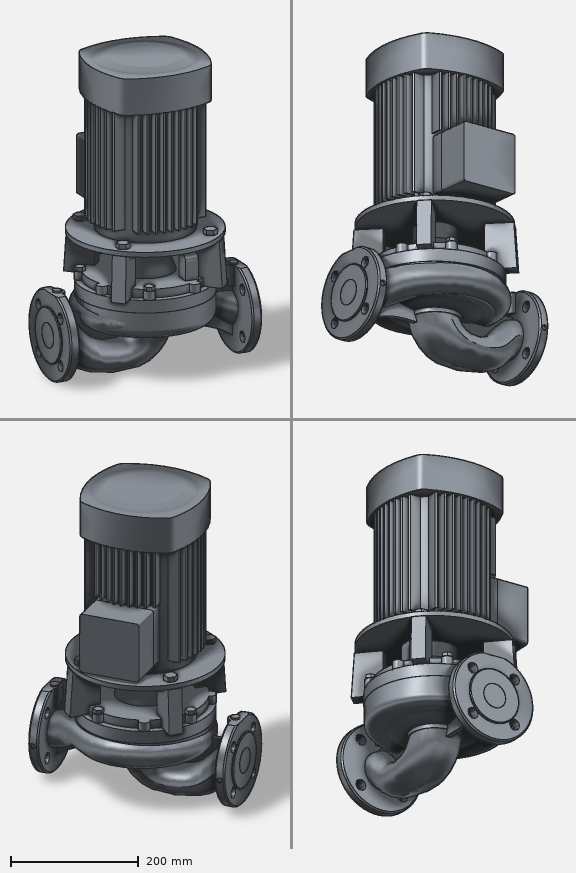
import cadquery as cq
import math


frame_radius = 80.0
fin_radius = 95.0
fin_pitch = 12.6
fin_width = 3.0
fins_per_side = 9
fin_bottom = 174.0
plate_bottom = 146.0
plate_top = 154.0
plate_radius = 125.0
cap_bottom = 373.0
cap_top = 433.0
cap_half_width = 96.0
cap_corner_near = 70.5
cap_corner_far = 80.5
dome_top = 437.5
dome_base_radius = 82.0
dome_top_radius = 60.0
frame_bolt_offset = 76.0
frame_bolt_flats = 19.0
frame_bolt_height = 8.5

box_width = 101.0
box_bottom = 172.0
box_top = 272.0
box_corner = 5.0
box_outer_x = -141.0
box_seam_x = -83.7
fin_box_gap = 3.0

cover_bottom = 70.0
cover_top = 84.5
cover_radius = 100.0
boss_count = 8
boss_circle_radius = 102.0
boss_radius = 9.3
cover_bolt_flats = 15.0
cover_bolt_height = 6.5
leg_width = 23.0
leg_inner_radius = 80.0
leg_top_radius = 126.0
leg_foot_radius = 131.0
neck_base_radius = 48.5
neck_radius = 35.0
neck_shoulder = 118.0
neck_top = 144.0
lug_x = 70.0
lug_radius = 12.0
lug_near_y = 30.0
lug_far_y = 52.0
lug_axis_z = 115.0

rim_radius = 111.0
rim_bottom = 49.0
bowl_radius = 110.5
bowl_bottom = 4.0
bowl_round = 15.0
channel_z = 26.0
pipe_overlap = 3.0
hub_radius = 43.0
hub_bottom = -9.0
hub_shoulder_radius = 75.0
hub_shoulder_z = -2.0
port_face_y = 170.0
flange_radius = 75.0
flange_front_y = 167.0
flange_back_y = 150.0
flange_edge = 2.5
flange_flat_z = 70.0
raised_face_radius = 46.0
raised_face_edge = 1.5
bore_radius = 20.5
bore_recess = 0.5
flange_hole_radius = 9.0
flange_hole_spacing = 110.0 / math.sqrt(2)
tapping_y = 153.5
tapping_boss_radius = 12.0
tapping_boss_bottom = 36.0
plug_radius = 7.3
plug_top = 73.0
drain_y = 159.0
drain_z = -5.0
drain_radius = 4.5
drain_depth = 4.0
web_thickness = 8.0
web_top = 56.0
web_low = -20.0
web_foot = -49.0
web_inlet_top = 31.0
web_outlet_top = 44.0
web_arc_mid = (103.0, -25.0)
web_arc_end_y = 60.0
web_bend_y = -90.0
web_elbow_point = (-118.0, 10.0)


def cylinder(radius, bottom, top, x=0.0, y=0.0):
    return cq.Workplane("XY", origin=(x, y, bottom)).circle(radius).extrude(top - bottom)


def hex_head(flats, bottom, height, x, y):
    across_corners = flats / math.cos(math.radians(30))
    return cq.Workplane("XY", origin=(x, y, bottom)).polygon(6, across_corners).extrude(height)


def tube(sections):
    """Smooth solid through ellipses given as (centre, direction, half width, half depth).

    The half width lies level and the half depth lies across it.
    """
    wires = []
    for centre, direction, half_width, half_depth in sections:
        axis = cq.Vector(*direction)
        level = cq.Vector(-1, 0, 0) if axis.x == 0 else axis.cross(cq.Vector(0, 0, 1))
        plane = cq.Plane(origin=centre, xDir=level, normal=axis)
        wires.append(cq.Workplane(plane).ellipse(half_width, half_depth).wires().val())
    return cq.Workplane(obj=cq.Solid.makeLoft(wires))


def rounded_box(start_x, end_x):
    """Box of the terminal box section between two X positions, its long edges rounded."""
    middle_z = (box_bottom + box_top) / 2
    return (
        cq.Workplane("YZ", origin=(start_x, 0, middle_z))
        .rect(box_width, box_top - box_bottom)
        .extrude(end_x - start_x)
        .edges("|X")
        .fillet(box_corner)
    )


def fin_row(bottom):
    """Separate parallel fins on the +X side, trimmed to the round fin envelope."""
    height = cap_bottom - bottom
    envelope = cylinder(fin_radius, bottom, cap_bottom)
    first_y = -fin_pitch * (fins_per_side - 1) / 2
    fins = []
    for index in range(fins_per_side):
        blank = cq.Workplane("XY", origin=(0, first_y + index * fin_pitch, bottom))
        fin = blank.box(fin_radius, fin_width, height, centered=(False, True, False))
        fins.append(fin.intersect(envelope))
    return fins


def fan_cap():
    """Fan cap: a square with bowed sides and round corners, topped by a low dome."""
    near, far, bow = cap_corner_near, cap_corner_far, cap_half_width
    half_turn = math.pi / 4 - 2 * math.atan((bow - far) / near)
    corner_bulge = (far - near) / math.sqrt(2) * math.tan(half_turn / 2)
    corner_mid = (near + far) / 2 + corner_bulge / math.sqrt(2)
    outline = cq.Workplane("XY", origin=(0, 0, cap_bottom)).moveTo(far, -near)
    outline = outline.threePointArc((bow, 0), (far, near))
    outline = outline.threePointArc((corner_mid, corner_mid), (near, far))
    outline = outline.threePointArc((0, bow), (-near, far))
    outline = outline.threePointArc((-corner_mid, corner_mid), (-far, near))
    outline = outline.threePointArc((-bow, 0), (-far, -near))
    outline = outline.threePointArc((-corner_mid, -corner_mid), (-near, -far))
    outline = outline.threePointArc((0, -bow), (near, -far))
    outline = outline.threePointArc((corner_mid, -corner_mid), (far, -near))
    cap = outline.close().extrude(cap_top - cap_bottom)
    dome = cq.Workplane(
        obj=cq.Solid.makeCone(
            dome_base_radius, dome_top_radius, dome_top - cap_top, cq.Vector(0, 0, cap_top)
        )
    )
    return cap.union(dome)


def make_motor():
    motor = cylinder(plate_radius, plate_bottom, plate_top)
    motor = motor.union(cylinder(frame_radius, plate_top, cap_bottom))
    motor = motor.union(rounded_box(box_seam_x, 0))
    for angle in (0, 90, 180, 270):
        bottom = box_top + fin_box_gap if angle == 180 else fin_bottom
        for fin in fin_row(bottom):
            motor = motor.union(fin.rotate((0, 0, 0), (0, 0, 1), angle))
    for x in (-frame_bolt_offset, frame_bolt_offset):
        for y in (-frame_bolt_offset, frame_bolt_offset):
            motor = motor.union(hex_head(frame_bolt_flats, plate_top, frame_bolt_height, x, y))
    return motor.union(fan_cap())


def make_terminal_box():
    return rounded_box(box_outer_x, box_seam_x)


def bracket_leg(angle):
    """Radial leg from the pump rim up to the motor plate, its outer face leaning inward."""
    return (
        cq.Workplane("XZ")
        .moveTo(leg_inner_radius, cover_bottom)
        .lineTo(leg_foot_radius, cover_bottom)
        .lineTo(leg_top_radius, plate_bottom)
        .lineTo(leg_inner_radius, plate_bottom)
        .close()
        .extrude(leg_width / 2, both=True)
        .rotate((0, 0, 0), (0, 0, 1), angle)
    )


def bracket_neck():
    """Seal neck: a cone that narrows to a short cylinder under the motor plate."""
    return (
        cq.Workplane("XZ")
        .moveTo(0, cover_top)
        .lineTo(neck_base_radius, cover_top)
        .lineTo(neck_radius, neck_shoulder)
        .lineTo(neck_radius, neck_top)
        .lineTo(0, neck_top)
        .close()
        .revolve(360, (0, 0, 0), (0, 1, 0))
    )


def cover_lug():
    """Round-topped lug standing on the cover beside the neck."""
    return (
        cq.Workplane("XZ", origin=(0, lug_far_y, 0))
        .moveTo(lug_x - lug_radius, cover_top)
        .lineTo(lug_x + lug_radius, cover_top)
        .lineTo(lug_x + lug_radius, lug_axis_z)
        .threePointArc((lug_x, lug_axis_z + lug_radius), (lug_x - lug_radius, lug_axis_z))
        .close()
        .extrude(lug_far_y - lug_near_y)
    )


def make_bracket():
    bracket = cylinder(cover_radius, cover_bottom, cover_top)
    boss_step = 360 / boss_count
    for index in range(boss_count):
        angle = math.radians(boss_step * (index + 0.5))
        x = boss_circle_radius * math.cos(angle)
        y = boss_circle_radius * math.sin(angle)
        bracket = bracket.union(cylinder(boss_radius, cover_bottom, cover_top, x, y))
        if index % 2 == 1:
            bracket = bracket.union(hex_head(cover_bolt_flats, cover_top, cover_bolt_height, x, y))
    for angle in (45, 135, 225, 315):
        bracket = bracket.union(bracket_leg(angle))
    return bracket.union(bracket_neck()).union(cover_lug())


def volute():
    """Rim, round bowl and hub, with the spiral channel running out to the +Y port."""
    rim = cylinder(rim_radius, rim_bottom, cover_bottom)
    bowl = cylinder(bowl_radius, bowl_bottom, rim_bottom).edges("<Z").fillet(bowl_round)
    hub = (
        cq.Workplane("XZ")
        .moveTo(0, hub_bottom)
        .lineTo(hub_radius, hub_bottom)
        .lineTo(hub_radius, hub_shoulder_z)
        .lineTo(hub_shoulder_radius, bowl_bottom)
        .lineTo(0, bowl_bottom)
        .close()
        .revolve(360, (0, 0, 0), (0, 1, 0))
    )

    growth = (
        (0, 106, 17, 17),
        (-45, 111, 20, 20),
        (-90, 116, 22, 22),
        (-135, 119.5, 23, 23.5),
        (-180, 122.3, 23.5, 24),
    )
    spiral = []
    for angle, reach, half_width, half_depth in growth:
        turn = math.radians(angle)
        across = (math.cos(turn), math.sin(turn))
        centre_radius = reach - half_width
        centre = (centre_radius * across[0], centre_radius * across[1], channel_z)
        spiral.append((centre, (across[1], -across[0], 0), half_width, half_depth))

    outlet = [
        ((-83, 50, channel_z), (0.35, 1, 0), 25, 25),
        ((-43, 91, 22), (0.65, 0.8, -0.25), 27, 27),
        ((-20, 121, 11), (0.6, 0.8, -0.45), 29, 29),
        ((-4, flange_back_y + pipe_overlap, 0), (0.15, 1, -0.1), 30, 30),
    ]
    return rim.union(bowl).union(hub).union(tube(spiral + outlet))


def suction_elbow():
    """Elbow that dips below the hub and rises to the -Y port."""
    return tube(
        [
            ((0, 0, 6), (0, 0, -1), 41, 41),
            ((0, -9, -28), (0, -0.49, -0.87), 42, 36),
            ((0, -40, -46), (0, -0.88, -0.47), 42, 30),
            ((0, -72, -47), (0, -1, 0), 40, 27),
            ((0, -106, -37.5), (0, -0.95, 0.3), 36, 28),
            ((0, -139, -10), (0, -0.95, 0.2), 32, 32),
            ((0, -flange_back_y - pipe_overlap, -6), (0, -1, 0), 32, 33),
        ]
    )


def centre_web():
    """Stiffening web in the plane of the ports, above and below the pipes."""
    end_y = flange_back_y + pipe_overlap
    return (
        cq.Workplane("YZ", origin=(-web_thickness / 2, 0, 0))
        .moveTo(end_y, web_foot)
        .threePointArc(web_arc_mid, (web_arc_end_y, web_low))
        .lineTo(web_bend_y, web_low)
        .lineTo(*web_elbow_point)
        .lineTo(-end_y, web_elbow_point[1])
        .lineTo(-end_y, web_inlet_top)
        .lineTo(-bowl_radius, web_inlet_top)
        .lineTo(-bowl_radius, web_top)
        .lineTo(bowl_radius, web_top)
        .lineTo(end_y, web_outlet_top)
        .close()
        .extrude(web_thickness)
    )


def port_flange(side):
    """Flange on the +Y (side = 1) or -Y (side = -1) end, flat on top, with a plugged tapping."""
    outward = cq.Vector(0, side, 0)

    def disc(radius, start, end):
        return cq.Workplane(obj=cq.Solid.makeCylinder(radius, end - start, outward * start, outward))

    flange = disc(flange_radius, flange_back_y, flange_front_y).faces("<Y or >Y").edges().chamfer(flange_edge)
    raised = disc(raised_face_radius, flange_back_y, port_face_y)
    outer_rim = ">Y" if side > 0 else "<Y"
    raised = raised.faces(outer_rim).edges().chamfer(raised_face_edge)
    top_trim = cq.Workplane("XY", origin=(0, side * flange_back_y, flange_flat_z)).box(
        2 * flange_radius, 2 * flange_radius, flange_radius, centered=(True, True, False)
    )
    flange = flange.union(raised).cut(top_trim)

    flange = flange.union(
        cylinder(tapping_boss_radius, tapping_boss_bottom, flange_flat_z, 0, side * tapping_y)
    )
    flange = flange.union(cylinder(plug_radius, flange_flat_z, plug_top, 0, side * tapping_y))

    holes = (
        cq.Workplane("XZ", origin=(0, side * flange_back_y, 0))
        .rect(flange_hole_spacing, flange_hole_spacing, forConstruction=True)
        .vertices()
        .circle(flange_hole_radius)
        .extrude(2 * (port_face_y - flange_back_y), both=True)
    )
    bore = disc(bore_radius, port_face_y - bore_recess, port_face_y)
    drain = cq.Workplane("YZ", origin=(-flange_radius, side * drain_y, drain_z))
    drain = drain.circle(drain_radius).extrude(drain_depth)
    return flange.cut(holes).cut(bore).cut(drain)


def make_housing():
    housing = volute().union(suction_elbow()).union(centre_web())
    for side in (-1, 1):
        housing = housing.union(port_flange(side))
    return housing


motor = make_motor()
terminal_box = make_terminal_box()
bracket = make_bracket()
housing = make_housing()

result = cq.Compound.makeCompound(
    [motor.solids().val(), terminal_box.solids().val(), bracket.solids().val(), housing.solids().val()]
)